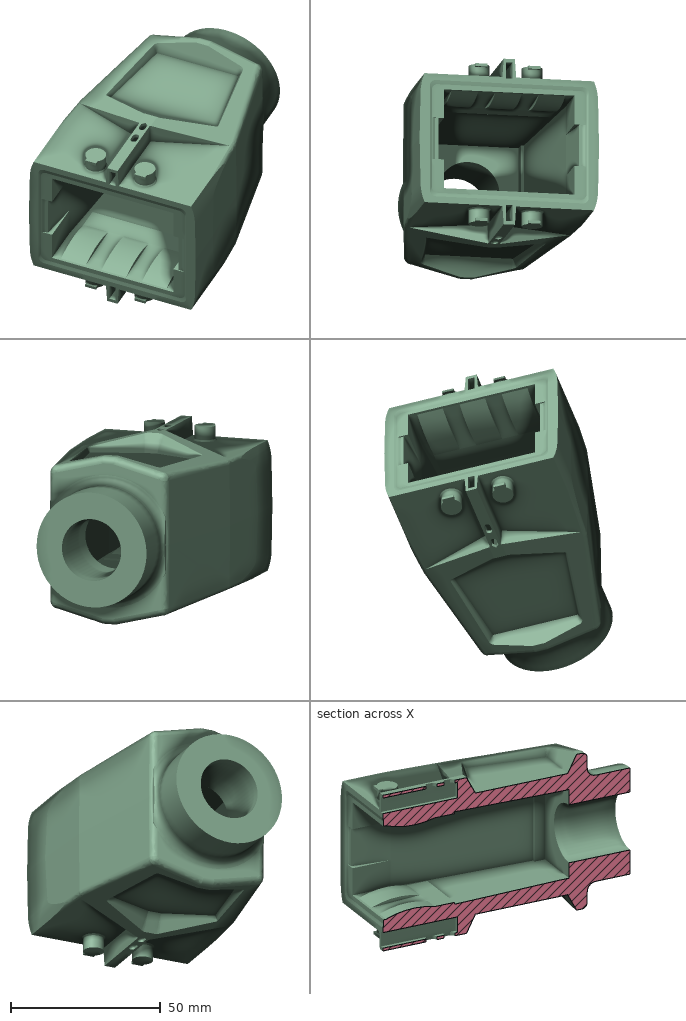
import cadquery as cq
import math


TOTAL_LENGTH = 93.0
TOTAL_WIDTH = 61.0
TOTAL_HEIGHT = 57.0
HALF_WIDTH = TOTAL_WIDTH / 2
HALF_HEIGHT = TOTAL_HEIGHT / 2

SIDE_BEND_Y = 14.0
WAIST_Y = 36.9
BODY_END_Y = 77.0

SIDE_CROWN = 0.3
MOUTH_CORNER_MIDDLE = (29.8, 19.0)
MOUTH_DECK_EDGE_X = 28.8
MOUTH_SHOULDER_Z = 15.0
WAIST_HALF_WIDTH = 28.9
WAIST_CORNER_MIDDLE = (28.3, 21.5)
WAIST_SHOULDER_Z = 20.2
REAR_HALF_WIDTH = 20.9
REAR_CORNER_MIDDLE = (19.9, 23.7)
REAR_SHOULDER_Z = 21.8

DECK_Z = 22.2
CREST_HALF_WIDTH = 2.2
ROOF_EDGE_X = 27.3
ROOF_SLOPE = (HALF_HEIGHT - DECK_Z) / (ROOF_EDGE_X - CREST_HALF_WIDTH)
REAR_ROOF_EDGE_X = 18.0
ROOF_TIP_Y = 25.9
ROOF_SIDE_Y = 34.6
WALL_DRAFT = 4.0
REAR_EDGE_RADIUS = 2.2

NECK_RADIUS = 19.5
NECK_FLARE_RADIUS = 3.0
CABLE_BORE_DIAMETER = 21.0

RECESS_TAPER = 28.0
RECESS_REAR = (14.9, 69.5)
RECESS_SIDE = (19.5, 40.9)
RECESS_TIP = (2.3, 34.9)

RIDGE_WIDTH = 4.7
RIDGE_SLOT_WIDTH = 2.2
RIDGE_SLOT_BOTTOM_Z = 21.8
RIDGE_SLOT_TOP_Z = 27.3
RIDGE_SLOT_DEPTH = 28.0
DRAIN_WIDTH = 2.2
DRAIN_LENGTH = 4.0
REAR_DRAIN_Y = 25.1
FRONT_DRAIN_Y = 18.3

PIN_X = 9.0
PIN_Y = 6.5
PIN_DIAMETER = 7.0
PIN_TOP_Z = 27.1
PIN_BASE_FLARE = 0.5
FOOT_ANGLE = 45.0
PIN_TAB_WIDTH = 4.0
PIN_TAB_THICKNESS = 1.0
PIN_TAB_FRONT_Y = 2.3

MOUTH_WIDTH = 54.0
MOUTH_HEIGHT = 40.0
MOUTH_CORNER_RADIUS = 2.0
LEDGE_Y = 0.3
LEDGE_WIDTH = 52.6
LEDGE_HEIGHT = 37.4
CAVITY_MOUTH_WIDTH = 44.4
CAVITY_MOUTH_HEIGHT = 34.0
CAVITY_END_WIDTH = 36.0
CAVITY_END_HEIGHT = 32.2
CAVITY_STEP_Y = 66.0
CAVITY_END_Y = 70.0
CAVITY_NARROW_WIDTH = 34.0

NOTCH_HEIGHT = 14.2
NOTCH_STEP_DEPTH = 0.4
NOTCH_LENGTH = 14.3
NOTCH_MOUTH_X = 26.0
NOTCH_STEP_OUTER_X = 25.1
NOTCH_STEP_INNER_X = 23.9

PAD_WIDTH = 9.0
PAD_PITCH = 14.8
PAD_START_Y = 1.2
PAD_CREST_Y = 9.0
PAD_END_Y = 19.5
PAD_CREST_Z = 15.2
LINER_WIDTH = 38.8
LINER_Z = 16.1
LINER_END_Y = 27.0
WALL_OVERLAP = 0.5


def roof_z(x):
    """Height of the sloping roof at a distance x from the middle plane."""
    return HALF_HEIGHT - ROOF_SLOPE * (x - CREST_HALF_WIDTH)


def section(y, crest, edge, bulge, shoulder, mid_x):
    """Closed outline across Y, from the crest point round the curved corner to the side."""
    wp = cq.Workplane("XZ", origin=(0, y, 0))
    wp = wp.moveTo(-crest[0], crest[1]).lineTo(crest[0], crest[1]).lineTo(edge[0], edge[1])
    wp = wp.threePointArc(bulge, shoulder).lineTo(mid_x, 0).lineTo(shoulder[0], -shoulder[1])
    wp = wp.threePointArc((bulge[0], -bulge[1]), (edge[0], -edge[1]))
    wp = wp.lineTo(crest[0], -crest[1]).lineTo(-crest[0], -crest[1]).lineTo(-edge[0], -edge[1])
    wp = wp.threePointArc((-bulge[0], -bulge[1]), (-shoulder[0], -shoulder[1]))
    wp = wp.lineTo(-mid_x, 0).lineTo(-shoulder[0], shoulder[1])
    wp = wp.threePointArc((-bulge[0], bulge[1]), (-edge[0], edge[1])).close()
    return wp.val()


def loft(sections):
    return cq.Workplane(cq.Solid.makeLoft(sections, True))


def both_sides(shape):
    """The shape together with its mirror image across Z = 0."""
    return shape.union(shape.mirror("XY"))


def box(x_limits, y_limits, z_limits):
    size = [high - low for low, high in (x_limits, y_limits, z_limits)]
    corner = (x_limits[0], y_limits[0], z_limits[0])
    return cq.Workplane("XY").box(*size, centered=False).translate(corner)


def waist_section(crest, spread=0.0, y=WAIST_Y):
    """Body outline at the waist; spread widens it sideways."""
    edge = (ROOF_EDGE_X + spread, DECK_Z)
    bulge = (WAIST_CORNER_MIDDLE[0] + spread, WAIST_CORNER_MIDDLE[1])
    shoulder = (WAIST_HALF_WIDTH - SIDE_CROWN + spread, WAIST_SHOULDER_Z)
    return section(y, crest, edge, bulge, shoulder, WAIST_HALF_WIDTH + spread)


def front_body():
    """Constant mouth outline, trimmed by the side taper that narrows toward the waist."""
    crest = (CREST_HALF_WIDTH, DECK_Z)
    deck_edge = (MOUTH_DECK_EDGE_X, DECK_Z)
    shoulder = (HALF_WIDTH - SIDE_CROWN, MOUTH_SHOULDER_Z)
    mouth_profile = [crest, deck_edge, MOUTH_CORNER_MIDDLE, shoulder, HALF_WIDTH]
    mouth_prism = loft([section(0, *mouth_profile), section(WAIST_Y, *mouth_profile)])
    taper_rate = (HALF_WIDTH - WAIST_HALF_WIDTH) / (WAIST_Y - SIDE_BEND_Y)
    taper = loft([waist_section(crest, taper_rate * WAIST_Y, 0), waist_section(crest)])
    return mouth_prism.intersect(taper)


def rear_body():
    crest = (CREST_HALF_WIDTH, HALF_HEIGHT)
    rear_edge = (REAR_ROOF_EDGE_X, roof_z(REAR_ROOF_EDGE_X))
    shoulder = (REAR_HALF_WIDTH - SIDE_CROWN, REAR_SHOULDER_Z)
    rear = section(BODY_END_Y, crest, rear_edge, REAR_CORNER_MIDDLE, shoulder, REAR_HALF_WIDTH)
    return loft([waist_section(crest), rear]).faces(">Y").edges().fillet(REAR_EDGE_RADIUS)


def roof_tongue():
    """Pointed front part of the roof with the middle ridge, standing on the deck with drafted walls."""
    roof = cq.Workplane("XZ", origin=(0, WAIST_Y, 0)).polyline([
        (-ROOF_EDGE_X, DECK_Z), (-CREST_HALF_WIDTH, HALF_HEIGHT),
        (CREST_HALF_WIDTH, HALF_HEIGHT), (ROOF_EDGE_X, DECK_Z),
    ]).close().extrude(WAIST_Y)
    ridge_x = RIDGE_WIDTH / 2
    overrun = 5.0
    plan = cq.Workplane("XY", origin=(0, 0, DECK_Z)).polyline([
        (-ridge_x, -overrun), (ridge_x, -overrun), (ridge_x, ROOF_TIP_Y),
        (ROOF_EDGE_X, ROOF_SIDE_Y), (ROOF_EDGE_X, WAIST_Y + overrun),
        (-ROOF_EDGE_X, WAIST_Y + overrun), (-ROOF_EDGE_X, ROOF_SIDE_Y), (-ridge_x, ROOF_TIP_Y),
    ]).close().extrude(HALF_HEIGHT - DECK_Z, taper=WALL_DRAFT)
    return roof.intersect(plan)


def ridge_openings():
    """End slot of the ridge and the two drain holes that open into it from above."""
    half = RIDGE_SLOT_WIDTH / 2
    slot = box((-half, half), (0, RIDGE_SLOT_DEPTH), (RIDGE_SLOT_BOTTOM_Z, RIDGE_SLOT_TOP_Z))
    drill = HALF_HEIGHT - DECK_Z
    deck = cq.Workplane("XY", origin=(0, 0, DECK_Z))
    round_hole = deck.center(0, FRONT_DRAIN_Y).slot2D(DRAIN_LENGTH, DRAIN_WIDTH, 90).extrude(drill)
    hole_radius = DRAIN_WIDTH / 2
    straight = DRAIN_LENGTH / 2 - hole_radius
    pointed_hole = (
        deck.center(0, REAR_DRAIN_Y)
        .moveTo(-hole_radius, -straight)
        .threePointArc((0, -DRAIN_LENGTH / 2), (hole_radius, -straight))
        .lineTo(hole_radius, straight)
        .lineTo(0, DRAIN_LENGTH / 2)
        .lineTo(-hole_radius, straight)
        .close().extrude(drill)
    )
    return slot.union(round_hole).union(pointed_hole)


def label_recess():
    """Tapered pocket in the roof with its floor level with the deck."""
    left = [(-x, y) for x, y in (RECESS_TIP, RECESS_SIDE, RECESS_REAR)]
    outline = left + [RECESS_REAR, RECESS_SIDE, RECESS_TIP]
    sketch = cq.Workplane("XY", origin=(0, 0, DECK_Z)).polyline(outline).close()
    return sketch.extrude(HALF_HEIGHT - DECK_Z, taper=-RECESS_TAPER)


def pin(x):
    """Round locking pin with a flared foot and a small tab at its top toward the mouth."""
    radius = PIN_DIAMETER / 2
    deck = cq.Workplane("XY", origin=(x, PIN_Y, DECK_Z))
    post = deck.circle(radius).extrude(PIN_TOP_Z - DECK_Z)
    foot = deck.circle(radius + PIN_BASE_FLARE).extrude(PIN_BASE_FLARE, taper=FOOT_ANGLE)
    half_tab = PIN_TAB_WIDTH / 2
    tab = box((x - half_tab, x + half_tab), (PIN_TAB_FRONT_Y, PIN_Y),
              (PIN_TOP_Z - PIN_TAB_THICKNESS, PIN_TOP_Z))
    return post.union(foot).union(tab)


def cable_neck():
    """Cylinder with a hollow flare that runs into the rear face of the body."""
    flare_end_y = BODY_END_Y + NECK_FLARE_RADIUS
    root_y = CAVITY_END_Y + 1
    arc_step = NECK_FLARE_RADIUS * (1 - math.sqrt(0.5))
    root_radius = NECK_RADIUS + NECK_FLARE_RADIUS
    profile = (
        cq.Workplane("XY")
        .moveTo(0, root_y).lineTo(root_radius, root_y).lineTo(root_radius, BODY_END_Y)
        .threePointArc((NECK_RADIUS + arc_step, BODY_END_Y + arc_step), (NECK_RADIUS, flare_end_y))
        .lineTo(NECK_RADIUS, TOTAL_LENGTH).lineTo(0, TOTAL_LENGTH).close()
    )
    neck = profile.revolve(360, (0, 0, 0), (0, 1, 0))
    side_limit = NECK_RADIUS + arc_step
    width_limit = box((-side_limit, side_limit), (root_y, TOTAL_LENGTH), (-HALF_HEIGHT, HALF_HEIGHT))
    return neck.intersect(width_limit)


def rectangle_wire(y, width, height):
    return cq.Workplane("XZ", origin=(0, y, 0)).rect(width, height).val()


def rounded_wire(y, width, height):
    rect = cq.Sketch().rect(width, height).vertices().fillet(MOUTH_CORNER_RADIUS)
    face = cq.Workplane("XZ", origin=(0, y, 0)).placeSketch(rect).extrude(1).faces(">Y")
    return face.wires().val()


def cavity():
    mouth = loft([
        rounded_wire(0, MOUTH_WIDTH, MOUTH_HEIGHT),
        rounded_wire(LEDGE_Y, LEDGE_WIDTH, LEDGE_HEIGHT),
    ])
    chamber = loft([
        rectangle_wire(LEDGE_Y, CAVITY_MOUTH_WIDTH, CAVITY_MOUTH_HEIGHT),
        rectangle_wire(LEDGE_Y + NOTCH_LENGTH, CAVITY_MOUTH_WIDTH, CAVITY_MOUTH_HEIGHT),
        rectangle_wire(CAVITY_STEP_Y, CAVITY_END_WIDTH, CAVITY_END_HEIGHT),
    ])
    half_x = CAVITY_NARROW_WIDTH / 2
    half_z = CAVITY_END_HEIGHT / 2
    narrow_end = box((-half_x, half_x), (CAVITY_STEP_Y, CAVITY_END_Y), (-half_z, half_z))
    return mouth.union(chamber).union(narrow_end)


def side_notches():
    half = NOTCH_HEIGHT / 2
    inner_x = CAVITY_END_WIDTH / 2
    step_y = LEDGE_Y + NOTCH_STEP_DEPTH
    end_y = LEDGE_Y + NOTCH_LENGTH
    notch = cq.Workplane("XY", origin=(0, 0, -half)).polyline([
        (inner_x, LEDGE_Y), (NOTCH_MOUTH_X, LEDGE_Y), (NOTCH_STEP_OUTER_X, step_y),
        (NOTCH_STEP_INNER_X, step_y), (CAVITY_MOUTH_WIDTH / 2, end_y), (inner_x, end_y),
    ]).close().extrude(NOTCH_HEIGHT)
    return notch.union(notch.mirror("YZ"))


def ceiling_pads():
    """Ramped liner on the cavity ceiling with three arched pads near the mouth."""
    wall_z = CAVITY_MOUTH_HEIGHT / 2
    root_z = wall_z + WALL_OVERLAP
    pads = cq.Workplane("YZ", origin=(-LINER_WIDTH / 2, 0, 0)).polyline([
        (PAD_START_Y, root_z), (PAD_START_Y, wall_z), (PAD_END_Y, LINER_Z),
        (LINER_END_Y, LINER_Z), (LINER_END_Y, root_z),
    ]).close().extrude(LINER_WIDTH)
    for index in (-1, 0, 1):
        start_x = index * PAD_PITCH - PAD_WIDTH / 2
        arch = (
            cq.Workplane("YZ", origin=(start_x, 0, 0))
            .moveTo(PAD_START_Y, root_z).lineTo(PAD_START_Y, wall_z)
            .threePointArc((PAD_CREST_Y, PAD_CREST_Z), (PAD_END_Y, LINER_Z))
            .lineTo(PAD_END_Y, root_z).close().extrude(PAD_WIDTH)
        )
        pads = pads.union(arch)
    return pads


def cable_bore():
    neck_end = cq.Workplane("XZ", origin=(0, TOTAL_LENGTH, 0))
    return neck_end.circle(CABLE_BORE_DIAMETER / 2).extrude(TOTAL_LENGTH / 2)


hood = front_body().union(rear_body()).union(cable_neck())
hood = hood.union(both_sides(roof_tongue()))
for pin_x in (-PIN_X, PIN_X):
    hood = hood.union(both_sides(pin(pin_x)))
hood = hood.cut(both_sides(label_recess())).cut(both_sides(ridge_openings()))
hood = hood.cut(cavity()).cut(side_notches()).cut(cable_bore())
result = hood.union(both_sides(ceiling_pads()))